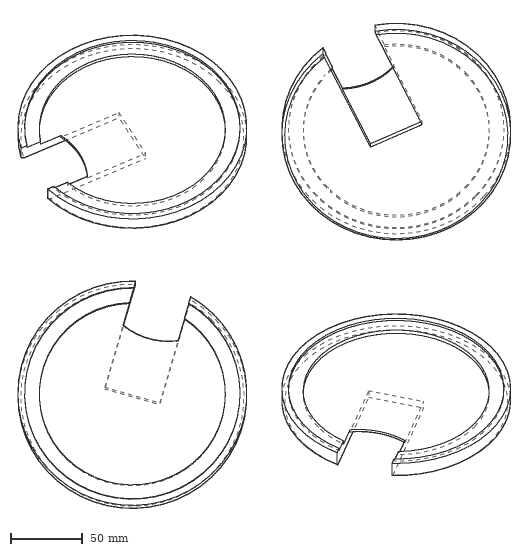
import cadquery as cq
import math

disc_radius = 80.0
disc_height = 13.0
bottom_chamfer = 2.0

outer_step_radius = 75.3
outer_step_depth = 2.0
inner_step_radius = 65.0
inner_step_depth = 5.0

notch_width = 40.0
notch_arc_radius = 50.0
notch_tip_y = -41.7

channel_height = 6.0
channel_end_y = 0.0


def make_disc():
    disc = cq.Workplane("XY").circle(disc_radius).extrude(disc_height)
    return disc.faces("<Z").edges().chamfer(bottom_chamfer)


def make_recess(radius, depth):
    floor_z = disc_height - depth
    return cq.Workplane("XY").workplane(offset=floor_z).circle(radius).extrude(depth)


def make_notch():
    half_width = notch_width / 2
    arc_center_y = notch_tip_y - notch_arc_radius
    corner_y = arc_center_y + math.sqrt(notch_arc_radius**2 - half_width**2)
    return (
        cq.Workplane("XY")
        .moveTo(-half_width, -disc_radius)
        .lineTo(-half_width, corner_y)
        .threePointArc((0, notch_tip_y), (half_width, corner_y))
        .lineTo(half_width, -disc_radius)
        .close()
        .extrude(disc_height)
    )


def make_channel():
    channel_length = channel_end_y + disc_radius
    return (
        cq.Workplane("XY")
        .center(0, channel_end_y - channel_length / 2)
        .rect(notch_width, channel_length)
        .extrude(channel_height)
    )


result = (
    make_disc()
    .cut(make_recess(outer_step_radius, outer_step_depth))
    .cut(make_recess(inner_step_radius, inner_step_depth))
    .cut(make_notch())
    .cut(make_channel())
)